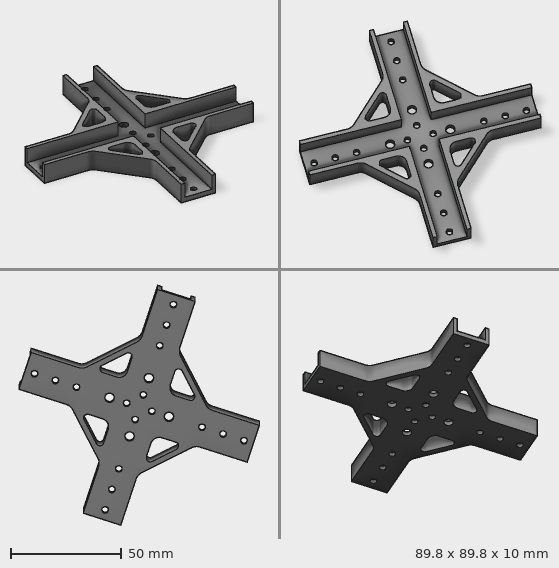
import cadquery as cq
import math

span = 89.8
height = 10.0

channel_width = 18.0
wall = 2.0
floor = 2.5
arm_length = span / math.sqrt(2) - channel_width / 2
groove_width = channel_width - 2 * wall

web_side = 54.95
web_fillet = 5.0

window_rim = 2.5
window_apex = 14.45
window_apex_radius = 3.95
window_corner_radius = 1.8

small_hole = 3.0
large_hole = 4.2
small_hole_distances = (6.0, 30.0, 40.0, 50.0)
large_hole_distance = 14.2

ARM_ANGLES = (45, 135, 225, 315)


def diagonal_cross(width, length, bottom, depth):
    """Two crossed bars, centred on the origin and turned to the diagonals."""
    bar = cq.Workplane("XY").workplane(offset=bottom).rect(2 * length, width).extrude(depth)
    bar = bar.rotate((0, 0, 0), (0, 0, 1), 45)
    return bar.union(bar.rotate((0, 0, 0), (0, 0, 1), 90))


def frame():
    """Full-height cross and web, with rounded corners where they meet."""
    web = cq.Workplane("XY").rect(web_side, web_side).extrude(height)
    body = web.union(diagonal_cross(channel_width, arm_length, 0, height))

    across = web_side / 2
    along = across - channel_width / math.sqrt(2)
    margin = 0.45
    for sign_x in (-1, 1):
        for sign_y in (-1, 1):
            for x, y in ((across, along), (along, across)):
                near_corner = cq.selectors.BoxSelector(
                    (sign_x * x - margin, sign_y * y - margin, -margin),
                    (sign_x * x + margin, sign_y * y + margin, height + margin),
                )
                body = body.edges("|Z").edges(near_corner).fillet(web_fillet)
    return body


def window():
    """Rounded triangular opening on the +Y side."""
    outer_y = web_side / 2 - window_rim
    half_width = outer_y - window_apex
    triangle = (
        cq.Workplane("XY")
        .polyline([(0, window_apex), (half_width, outer_y), (-half_width, outer_y)])
        .close()
        .extrude(height)
    )
    rounded = triangle.edges("|Z and <Y").fillet(window_apex_radius)
    return rounded.edges("|Z and (<X or >X)").fillet(window_corner_radius)


def arm_points(distance):
    """One point on each arm, at the given distance from the centre."""
    points = []
    for angle in ARM_ANGLES:
        direction = math.radians(angle)
        points.append((distance * math.cos(direction), distance * math.sin(direction)))
    return points


def holes(diameter, distance):
    """Through holes, one on each arm."""
    return cq.Workplane("XY").pushPoints(arm_points(distance)).circle(diameter / 2).extrude(height)


result = frame().cut(diagonal_cross(groove_width, arm_length, floor, height - floor))

for quarter_turn in range(4):
    result = result.cut(window().rotate((0, 0, 0), (0, 0, 1), 90 * quarter_turn))

for hole_distance in small_hole_distances:
    result = result.cut(holes(small_hole, hole_distance))
result = result.cut(holes(large_hole, large_hole_distance))